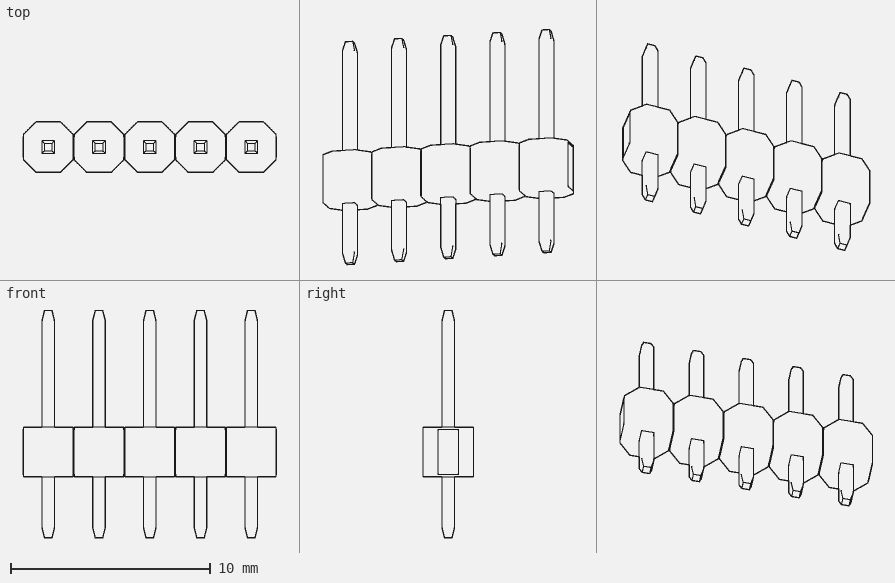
import cadquery as cq

unit_count = 5
pitch = 2.54

block_height = 2.5
block_depth = pitch
corner_cut = pitch / 4
edge_fillet = 0.05

pad_thickness = 0.03
pad_inset = 0.13
pad_fillet = 0.019
block_width = pitch - 2 * pad_thickness
pad_depth = block_depth - 2 * corner_cut - 2 * pad_inset
pad_height = block_height - 2 * pad_inset

pin_width = 0.64
pin_edge_fillet = 0.03
pin_length_above = 5.84
pin_length_below = 3.05
tip_length = 0.51
tip_width = 0.38


def make_block():
    """Octagonal prism standing on Z = 0, with all its edges lightly rounded."""
    return (
        cq.Workplane("XY")
        .box(block_width, block_depth, block_height, centered=(True, True, False))
        .edges("|Z")
        .chamfer(corner_cut)
        .edges()
        .fillet(edge_fillet)
    )


def make_pad(side):
    """Thin plate with a rounded outer rim on the -X (side = -1) or +X (side = 1) face of a block."""
    pad = cq.Workplane("XY").box(pad_thickness, pad_depth, pad_height)
    pad = pad.faces("<X" if side < 0 else ">X").edges().fillet(pad_fillet)
    return pad.translate((side * (pitch - pad_thickness) / 2, 0, block_height / 2))


def make_pin_tip(base_z, direction):
    """Square taper from the pin width at base_z, pointing up (1) or down (-1)."""
    return (
        cq.Workplane("XY", origin=(0, 0, base_z))
        .rect(pin_width, pin_width)
        .workplane(offset=direction * tip_length)
        .rect(tip_width, tip_width)
        .loft(ruled=True)
    )


def make_pin():
    """Square pin with rounded long edges and a tapered tip at both ends."""
    shank_bottom = tip_length - pin_length_below
    shank_top = block_height + pin_length_above - tip_length
    shank = (
        cq.Workplane("XY", origin=(0, 0, shank_bottom))
        .rect(pin_width, pin_width)
        .extrude(shank_top - shank_bottom)
    )
    pin = shank.union(make_pin_tip(shank_top, 1)).union(make_pin_tip(shank_bottom, -1))
    return pin.edges("|Z").fillet(pin_edge_fillet)


def make_header_unit():
    """One block with its two side pads and its pin, as a single solid."""
    return make_block().union(make_pad(-1)).union(make_pad(1)).union(make_pin())


header_unit = make_header_unit().solids().val()
first_x = -(unit_count - 1) * pitch / 2
header_units = [
    header_unit.translate(cq.Vector(first_x + index * pitch, 0, 0)) for index in range(unit_count)
]

result = cq.Compound.makeCompound(header_units)